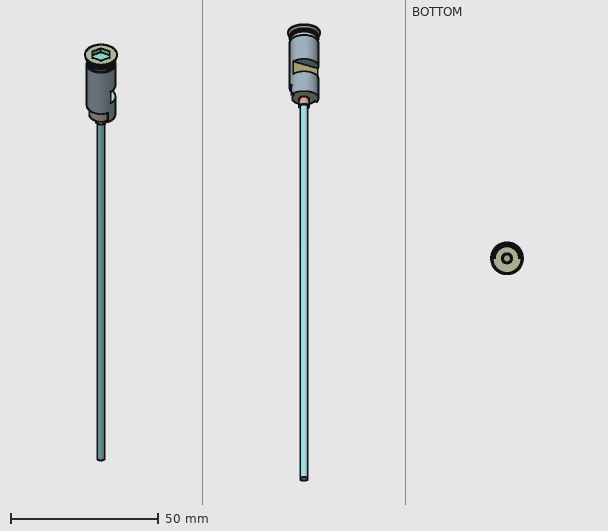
import cadquery as cq
import math

TOTAL_HEIGHT = 176.5
COLLAR_BOTTOM = 147.2
HEAD_BOTTOM = 150.4
STEP_HEIGHT = 154.0
SLOT_BOTTOM = 158.1
SLOT_TOP = 163.0
BODY_TOP = 172.8
RIB_BOTTOM = 174.0
RIB_TOP = 174.7
FLANGE_BOTTOM = 175.5
FLANGE_RIM = 0.4

EDGE_CHAMFER = 0.4

ROD_RADIUS = 1.32
COLLAR_RADIUS = 1.8
HEAD_RADIUS = 5.0
STEP_RADIUS = 4.0
GROOVE_RADIUS = HEAD_RADIUS - EDGE_CHAMFER
FLANGE_RADIUS = 5.5

SLOT_FLOOR_Y = 1.0
HEX_ACROSS_FLATS = 5.8
HEX_DEPTH = 1.8


def box_above_y(y_start, bottom, top):
    """Block covering the whole head width on the +Y side of y_start."""
    size = 2 * FLANGE_RADIUS
    block = cq.Workplane("XY").box(size, size, top - bottom, centered=(True, False, False))
    return block.translate((0, y_start, bottom))


def turned_shape():
    """Revolved profile: rod, collar, body, grooved neck and tapered flange."""
    profile = [
        (0, 0),
        (ROD_RADIUS, 0),
        (ROD_RADIUS, COLLAR_BOTTOM),
        (COLLAR_RADIUS, COLLAR_BOTTOM),
        (COLLAR_RADIUS, HEAD_BOTTOM - EDGE_CHAMFER),
        (COLLAR_RADIUS - EDGE_CHAMFER, HEAD_BOTTOM),
        (HEAD_RADIUS, HEAD_BOTTOM),
        (HEAD_RADIUS, BODY_TOP - EDGE_CHAMFER),
        (GROOVE_RADIUS, BODY_TOP),
        (GROOVE_RADIUS, RIB_BOTTOM),
        (HEAD_RADIUS, RIB_BOTTOM),
        (HEAD_RADIUS, RIB_TOP),
        (GROOVE_RADIUS, RIB_TOP),
        (GROOVE_RADIUS, FLANGE_BOTTOM),
        (FLANGE_RADIUS, TOTAL_HEIGHT - FLANGE_RIM),
        (FLANGE_RADIUS, TOTAL_HEIGHT),
        (0, TOTAL_HEIGHT),
    ]
    return cq.Workplane("XZ").polyline(profile).close().revolve(360, (0, 0), (0, 1))


def front_step():
    """Half ring removed from the foot of the head on the -Y side, with a chamfer above it."""
    profile = [
        (STEP_RADIUS, HEAD_BOTTOM),
        (FLANGE_RADIUS, HEAD_BOTTOM),
        (FLANGE_RADIUS, STEP_HEIGHT + EDGE_CHAMFER),
        (HEAD_RADIUS, STEP_HEIGHT + EDGE_CHAMFER),
        (HEAD_RADIUS - EDGE_CHAMFER, STEP_HEIGHT),
        (STEP_RADIUS, STEP_HEIGHT),
    ]
    ring = cq.Workplane("XZ").polyline(profile).close().revolve(360, (0, 0), (0, 1))
    return ring.cut(box_above_y(0, HEAD_BOTTOM, STEP_HEIGHT + EDGE_CHAMFER))


def hex_socket():
    """Hexagonal recess with two flats facing +X and -X."""
    across_corners = HEX_ACROSS_FLATS / math.cos(math.radians(30))
    hexagon = cq.Workplane("XY").polygon(6, across_corners).extrude(HEX_DEPTH)
    return hexagon.rotate((0, 0, 0), (0, 0, 1), 30).translate((0, 0, TOTAL_HEIGHT - HEX_DEPTH))


cross_slot = box_above_y(SLOT_FLOOR_Y, SLOT_BOTTOM, SLOT_TOP)
result = turned_shape().cut(front_step()).cut(cross_slot).cut(hex_socket())